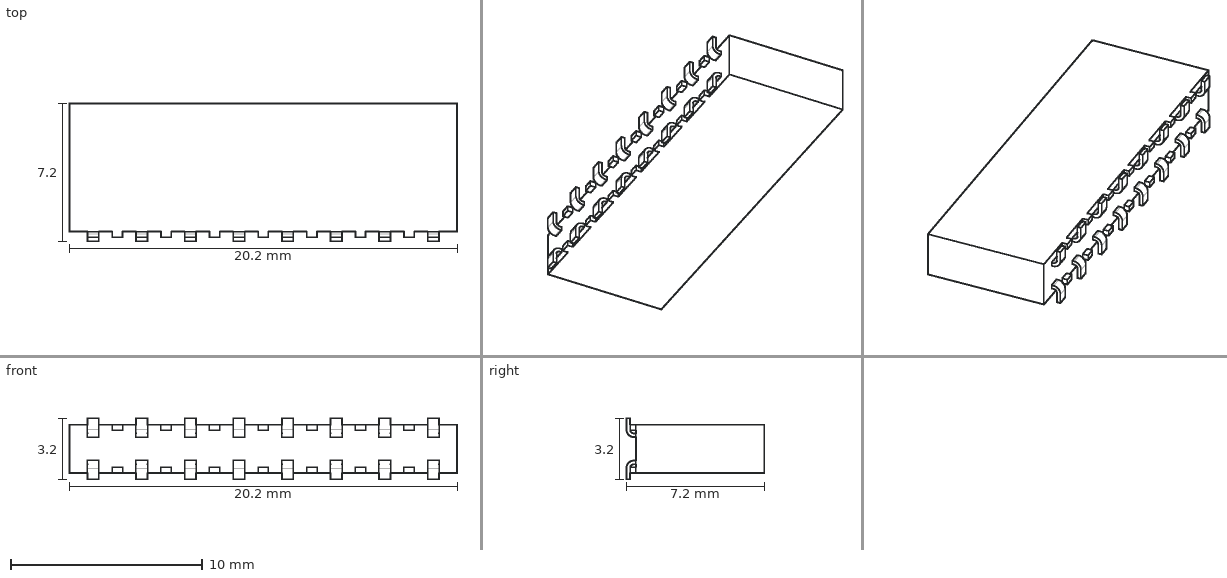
import cadquery as cq

body_length = 20.25
body_depth = 6.7
body_height = 2.53

contact_count = 8
contact_span = 17.77
contact_pitch = contact_span / (contact_count - 1)
contact_width = 0.6
contact_thickness = 0.2
contact_reach = 0.5
row_outer_height = 3.2
contact_height = 1.0
outer_bend_radius = 0.4
inner_bend_radius = outer_bend_radius - contact_thickness

standoff_count = contact_count - 1
standoff_width = 0.55
standoff_height = 0.3
standoff_reach = contact_reach - contact_thickness

front_face = -body_depth / 2


def row_positions(count):
    """X positions of a centred row at the contact pitch."""
    return [(i - (count - 1) / 2) * contact_pitch for i in range(count)]


def make_contact(x):
    """Upper contact: a leg out of the front face, a quarter bend and an upright tail."""
    tail_tip = row_outer_height / 2
    leg_bottom = tail_tip - contact_height
    leg_top = leg_bottom + contact_thickness
    bend_top = leg_bottom + outer_bend_radius
    tail_front = front_face - contact_reach
    tail_back = tail_front + contact_thickness
    bend_start = tail_front + outer_bend_radius
    return (
        cq.Workplane("YZ", origin=(x - contact_width / 2, 0, 0))
        .moveTo(front_face, leg_bottom)
        .lineTo(bend_start, leg_bottom)
        .radiusArc((tail_front, bend_top), outer_bend_radius)
        .lineTo(tail_front, tail_tip)
        .lineTo(tail_back, tail_tip)
        .lineTo(tail_back, bend_top)
        .radiusArc((bend_start, leg_top), -inner_bend_radius)
        .lineTo(front_face, leg_top)
        .close()
        .extrude(contact_width)
    )


def make_standoff(x):
    """Upper standoff: a small block flush with the top of the housing."""
    return cq.Workplane("XY").box(standoff_width, standoff_reach, standoff_height).translate(
        (x, front_face - standoff_reach / 2, (body_height - standoff_height) / 2)
    )


result = cq.Workplane("XY").box(body_length, body_depth, body_height)

upper_features = [make_contact(x) for x in row_positions(contact_count)]
upper_features += [make_standoff(x) for x in row_positions(standoff_count)]

for feature in upper_features:
    result = result.union(feature).union(feature.mirror("XY"))